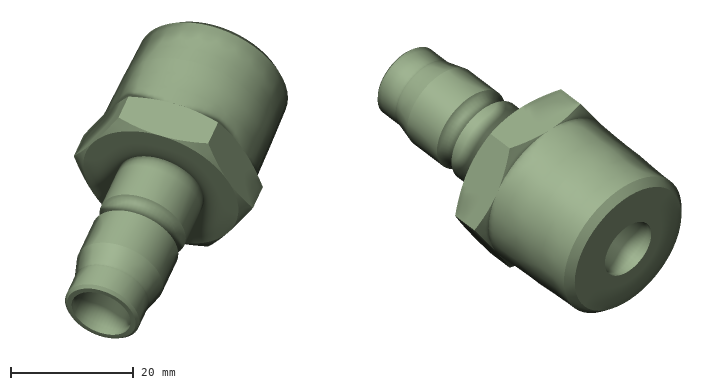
import cadquery as cq
import math

tip_chamfer = 0.5
tip_end = 4.85
cone_end = 8.8
groove_start = 16.0
groove_end = 19.5
hex_start = 28.0
hex_end = 35.1
thread_gauge = 44.5
total_length = 54.0
end_chamfer_length = 1.3

bore_diameter = 10.25
tip_diameter = 12.95
plug_diameter = 15.0
groove_diameter = 12.85
hex_flats = 27.0
thread_base_diameter = 27.05
thread_gauge_diameter = 26.55
thread_end_diameter = 26.0
end_face_diameter = 23.55

hex_corners = hex_flats / math.cos(math.pi / 6)
hex_chamfer_angle = math.radians(30)


def make_plug():
    """Revolved quick-connect plug with a tapered nose and a latch groove."""
    tip_radius = tip_diameter / 2
    plug_radius = plug_diameter / 2
    groove_radius = groove_diameter / 2
    groove_middle = (groove_start + groove_end) / 2
    profile = (
        cq.Workplane("XY")
        .lineTo(tip_radius - tip_chamfer, 0)
        .lineTo(tip_radius, tip_chamfer)
        .lineTo(tip_radius, tip_end)
        .lineTo(plug_radius, cone_end)
        .lineTo(plug_radius, groove_start)
        .threePointArc((groove_radius, groove_middle), (plug_radius, groove_end))
        .lineTo(plug_radius, hex_end)
        .lineTo(0, hex_end)
        .close()
    )
    return profile.revolve(360, (0, 0, 0), (0, 1, 0))


def make_hex():
    """Hexagon with flats facing +Z and -Z and corners chamfered on both faces."""
    prism = (
        cq.Workplane("XZ", origin=(0, hex_end, 0))
        .polygon(6, hex_corners)
        .extrude(hex_end - hex_start)
    )
    face_radius = hex_flats / 2
    corner_radius = hex_corners / 2
    chamfer_depth = (corner_radius - face_radius) * math.tan(hex_chamfer_angle)
    envelope = (
        cq.Workplane("XY")
        .moveTo(0, hex_start)
        .lineTo(face_radius, hex_start)
        .lineTo(corner_radius, hex_start + chamfer_depth)
        .lineTo(corner_radius, hex_end - chamfer_depth)
        .lineTo(face_radius, hex_end)
        .lineTo(0, hex_end)
        .close()
        .revolve(360, (0, 0, 0), (0, 1, 0))
    )
    return prism.intersect(envelope)


def make_thread_body():
    """Tapered pipe-thread body with a chamfered free end."""
    profile = (
        cq.Workplane("XY")
        .moveTo(0, hex_end)
        .lineTo(thread_base_diameter / 2, hex_end)
        .lineTo(thread_gauge_diameter / 2, thread_gauge)
        .lineTo(thread_end_diameter / 2, total_length - end_chamfer_length)
        .lineTo(end_face_diameter / 2, total_length)
        .lineTo(0, total_length)
        .close()
    )
    return profile.revolve(360, (0, 0, 0), (0, 1, 0))


bore = cq.Workplane("XZ").circle(bore_diameter / 2).extrude(-total_length)
result = make_plug().union(make_hex()).union(make_thread_body()).cut(bore)